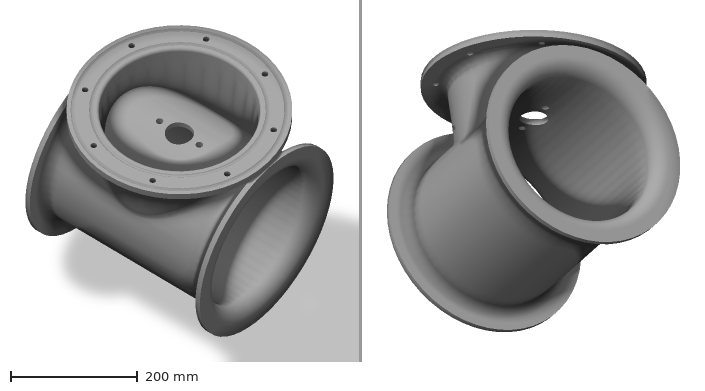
import cadquery as cq
import math

pipe_bore_radius = 250.0 / 2
pipe_outer_radius = 270 / 2
pipe_half_length = 350.5 / 2
end_flange_radius = 339.8 / 2
end_flange_thickness = 9.0
flare_radius = 15.0

overall_height = 360
top_z = overall_height - end_flange_radius
branch_flange_radius = 356.0 / 2
branch_flange_thickness = 12.0
branch_mouth_radius = 127.5
branch_taper = math.radians(7)
branch_wall = 11.0
mouth_fillet = 5.0
saddle_fillet = 10.0

groove_width = 6.0
groove_arc_radius = 4.0
groove_radii = (139.3, 168.5)

bolt_count = 8
bolt_diameter = 10.5
bolt_circle_radius = 154.5
floor_hole_diameter = 46.0
floor_pin_diameter = 12.0
floor_pin_offset = 40.0


def make_pipe_body():
    """Solid of revolution about X, with the concave necks outside the end flanges."""
    flange_inner_x = pipe_half_length - end_flange_thickness
    neck_x = flange_inner_x - flare_radius
    neck_radius = pipe_outer_radius + flare_radius
    arc_offset = flare_radius * math.sqrt(0.5)
    arc_x = neck_x + arc_offset
    arc_radius = neck_radius - arc_offset
    return (
        cq.Workplane("XY")
        .moveTo(-pipe_half_length, 0)
        .lineTo(-pipe_half_length, end_flange_radius)
        .lineTo(-flange_inner_x, end_flange_radius)
        .lineTo(-flange_inner_x, neck_radius)
        .threePointArc((-arc_x, arc_radius), (-neck_x, pipe_outer_radius))
        .lineTo(neck_x, pipe_outer_radius)
        .threePointArc((arc_x, arc_radius), (flange_inner_x, neck_radius))
        .lineTo(flange_inner_x, end_flange_radius)
        .lineTo(pipe_half_length, end_flange_radius)
        .lineTo(pipe_half_length, 0)
        .close()
        .revolve(360, (0, 0, 0), (1, 0, 0))
    )


def make_pipe_bore():
    """Bore with bell mouths concentric with the outside necks."""
    bell_radius = flare_radius + end_flange_thickness
    bore = cq.Workplane("YZ").circle(pipe_bore_radius).extrude(pipe_half_length, both=True)
    bell_start = pipe_half_length - bell_radius
    arc_offset = bell_radius * math.sqrt(0.5)
    bell_edge_radius = pipe_bore_radius + bell_radius
    bell = (
        cq.Workplane("XY")
        .moveTo(bell_start, 0)
        .lineTo(bell_start, pipe_bore_radius)
        .threePointArc(
            (bell_start + arc_offset, bell_edge_radius - arc_offset),
            (pipe_half_length, bell_edge_radius),
        )
        .lineTo(pipe_half_length, 0)
        .close()
        .revolve(360, (0, 0, 0), (1, 0, 0))
    )
    return bore.union(bell).union(bell.mirror("YZ"))


def make_cone(mouth_radius):
    """Solid tapered plug from the pipe axis up to the branch face."""
    base_radius = mouth_radius - top_z * math.tan(branch_taper)
    return cq.Workplane(cq.Solid.makeCone(base_radius, mouth_radius, top_z))


def make_groove(radius):
    """Torus whose lowest part cuts a shallow groove in the branch face."""
    arc_rise = math.sqrt(groove_arc_radius**2 - (groove_width / 2) ** 2)
    return (
        cq.Workplane("XZ")
        .center(radius, top_z + arc_rise)
        .circle(groove_arc_radius)
        .revolve(360, (-radius, 0, 0), (-radius, 1, 0))
    )


def holes(points, diameter, start_z, depth):
    return cq.Workplane("XY").workplane(offset=start_z).pushPoints(points).circle(diameter / 2).extrude(depth)


edge_margin = 0.5

branch_outer_radius = branch_mouth_radius + branch_wall / math.cos(branch_taper)
flange_bottom_z = top_z - branch_flange_thickness
branch = make_cone(branch_outer_radius).union(
    cq.Workplane("XY")
    .workplane(offset=flange_bottom_z)
    .circle(branch_flange_radius)
    .extrude(branch_flange_thickness)
)
neck_edge_box = cq.selectors.BoxSelector(
    (-pipe_half_length, -pipe_half_length, flange_bottom_z - edge_margin),
    (pipe_half_length, pipe_half_length, flange_bottom_z + edge_margin),
)
branch = branch.edges(neck_edge_box).edges("%CIRCLE").edges(cq.selectors.RadiusNthSelector(0))
branch = branch.fillet(flare_radius)

pipe_body = make_pipe_body()
body = pipe_body.union(branch)
saddle_box = cq.selectors.BoxSelector(
    (-branch_outer_radius, -branch_outer_radius, edge_margin),
    (branch_outer_radius, branch_outer_radius, pipe_outer_radius + edge_margin),
)
body = body.edges(saddle_box).edges("not(%CIRCLE or %LINE)").fillet(saddle_fillet)

cavity = make_cone(branch_mouth_radius).cut(pipe_body)
body = body.cut(cavity).cut(make_pipe_bore())
mouth_box = cq.selectors.BoxSelector(
    (-branch_outer_radius, -branch_outer_radius, top_z - edge_margin),
    (branch_outer_radius, branch_outer_radius, top_z + edge_margin),
)
body = body.edges(mouth_box).edges(cq.selectors.RadiusNthSelector(0)).fillet(mouth_fillet)

for radius in groove_radii:
    body = body.cut(make_groove(radius))

bolt_points = []
for index in range(bolt_count):
    angle = 2 * math.pi * (index + 0.5) / bolt_count
    bolt_points.append((bolt_circle_radius * math.cos(angle), bolt_circle_radius * math.sin(angle)))
body = body.cut(holes(bolt_points, bolt_diameter, flange_bottom_z, branch_flange_thickness))

pin_points = [(-floor_pin_offset, 0), (floor_pin_offset, 0)]
body = body.cut(holes([(0, 0)], floor_hole_diameter, 0, pipe_outer_radius))
result = body.cut(holes(pin_points, floor_pin_diameter, 0, pipe_outer_radius))